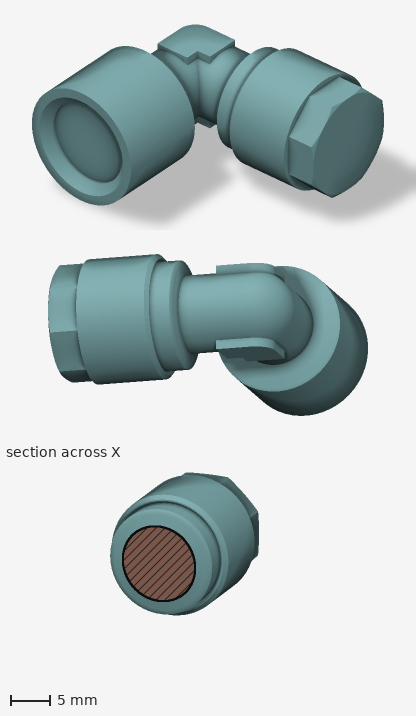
import cadquery as cq
import math


overall_length = 33.75

pipe_radius = 5.0

socket_length = 22.48
socket_diameter = 16.5
socket_radius = socket_diameter / 2
cone_start = 8.95
cone_end = 9.9
cone_round_length = 0.15
cone_round_height = 0.35

bore_radius = 5.77
mouth_radius = 6.95
mouth_depth = mouth_radius - bore_radius
bore_depth = 1.75

collar_start = 8.78
collar_radius = 7.0
collar_cone_end = 9.45
collar_round_length = 0.3
collar_round_height = 0.6
nut_start = 11.98
nut_end = 21.45
nut_radius = 8.0
nut_chamfer = 0.5
nut_countersink = 0.35

octagon_sides = 8
octagon_end = overall_length - socket_radius
octagon_apothem = collar_radius
octagon_corner_radius = octagon_apothem / math.cos(math.pi / octagon_sides)
end_chamfer_length = 0.3

lug_height = 5.5
lug_thickness = 1.1
lug_embed = 2.02
lug_outer = 2.5
lug_inner = 4.52
lug_notch = 2.02


def make_elbow():
    socket_pipe = cq.Workplane("XZ").circle(pipe_radius).extrude(cone_end)
    nut_pipe = cq.Workplane("YZ").circle(pipe_radius).extrude(nut_start)
    bend = cq.Workplane("XY").sphere(pipe_radius)
    return bend.union(socket_pipe).union(nut_pipe)


def make_socket():
    return (
        cq.Workplane("XY")
        .moveTo(0, -cone_start)
        .lineTo(pipe_radius, -cone_start)
        .lineTo(socket_radius - cone_round_height, -cone_end + cone_round_length)
        .tangentArcPoint((socket_radius, -cone_end), relative=False)
        .lineTo(socket_radius, -socket_length)
        .lineTo(mouth_radius, -socket_length)
        .lineTo(bore_radius, -socket_length + mouth_depth)
        .lineTo(bore_radius, -socket_length + bore_depth)
        .lineTo(0, -socket_length + bore_depth)
        .close()
        .revolve(360, (0, 0), (0, 1))
    )


def make_nut():
    return (
        cq.Workplane("XY")
        .moveTo(collar_start, 0)
        .lineTo(collar_start, pipe_radius)
        .lineTo(collar_cone_end - collar_round_length, collar_radius - collar_round_height)
        .tangentArcPoint((collar_cone_end, collar_radius), relative=False)
        .lineTo(nut_start + nut_countersink, collar_radius)
        .lineTo(nut_start, collar_radius + nut_countersink)
        .lineTo(nut_start, nut_radius - nut_chamfer)
        .lineTo(nut_start + nut_chamfer, nut_radius)
        .lineTo(nut_end, nut_radius)
        .lineTo(nut_end, 0)
        .close()
        .revolve(360, (0, 0), (1, 0))
    )


def make_octagon():
    prism = (
        cq.Workplane("YZ", origin=(nut_end, 0, 0))
        .transformed(rotate=(0, 0, 180 / octagon_sides))
        .polygon(octagon_sides, 2 * octagon_corner_radius)
        .extrude(octagon_end - nut_end)
    )
    envelope = [
        (nut_end, 0),
        (nut_end, octagon_corner_radius),
        (octagon_end - end_chamfer_length, octagon_corner_radius),
        (octagon_end, octagon_apothem),
        (octagon_end, 0),
    ]
    turning = cq.Workplane("XY").polyline(envelope).close().revolve(360, (0, 0), (1, 0))
    return prism.intersect(turning)


def make_lug(bottom, height):
    return (
        cq.Workplane("XY", origin=(0, 0, bottom))
        .moveTo(0, lug_outer)
        .lineTo(lug_inner, lug_outer)
        .lineTo(lug_inner, lug_notch - lug_inner)
        .lineTo(lug_inner - lug_notch, lug_notch - lug_inner)
        .lineTo(lug_inner - lug_notch, -lug_inner)
        .lineTo(-lug_outer, -lug_inner)
        .lineTo(-lug_outer, 0)
        .radiusArc((0, lug_outer), lug_outer)
        .close()
        .extrude(height)
    )


result = make_elbow().union(make_socket()).union(make_nut()).union(make_octagon())
lug_body_height = lug_thickness + lug_embed
result = result.union(make_lug(lug_height - lug_body_height, lug_body_height))
result = result.union(make_lug(-lug_height, lug_body_height))